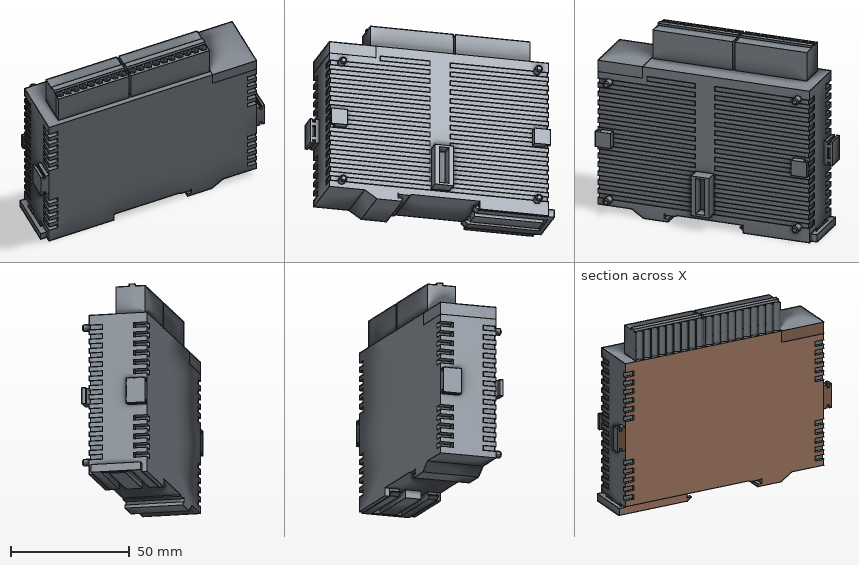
import cadquery as cq


OVERALL_LENGTH = 103.0

HOUSING_WIDTH = 25.0
HOUSING_LENGTH = 95.6
HOUSING_TOP = 68.7
BASE_Z = 3.5
HALF_LENGTH = HOUSING_LENGTH / 2

REAR_FOOT_SLOPE_TOP_Y = 32.4
REAR_FOOT_SLOPE_BOTTOM_Y = 27.1
REAR_FOOT_WALL_Y = 17.8
REAR_FOOT_LIP_Y = 16.1
REAR_FOOT_LIP_HEIGHT = 1.3
RAIL_PAD_FRONT_Y = 12.2
RAIL_PAD_HEIGHT = 0.5
FRONT_FOOT_Y = -17.8

SLOT_ROWS = 15
SLOT_HEIGHT = 2.1
SIDE_SLOT_DEPTH = 0.4
LEFT_END_SLOT_DEPTH = 0.5
RIGHT_END_SLOT_DEPTH = 4.1
LOWEST_SLOT_Z = 6.4
HIGHEST_SLOT_Z = 62.4
SLOT_PITCH = (HIGHEST_SLOT_Z - LOWEST_SLOT_Z) / (SLOT_ROWS - 1)
REAR_SLOT_INNER_Y = 3.9
FRONT_SLOT_INNER_Y = -4.9
SHORT_SLOT_OUTER_Y = 25.6
LEFT_SLOT_END_X = 5.8
RIGHT_SLOT_START_X = 19.2
CLIP_ROWS = range(5, 9)

COVER_INNER_Y = 27.6
COVER_HEIGHT = 5.2

PIN_RADIUS = 1.4
PIN_LENGTH = 3.9
PIN_CHAMFER = 0.5
PIN_Y = 42.6
LOW_PIN_Z = 6.4
REAR_HIGH_PIN_Z = 59.5
FRONT_HIGH_PIN_Z = 64.5

HOOK_LENGTH = 7.0
HOOK_REACH = 3.2
HOOK_PRONG_THICKNESS = 1.5
HOOK_ROOT_INSET = 1.9
HOOK_Z = 30.8
HOOK_HEIGHT = 6.8

SOCKET_REACH = 5.7
SOCKET_REAR_Y = 3.4
SOCKET_FRONT_Y = -4.7
SOCKET_Z = 7.0
SOCKET_HEIGHT = 17.9
CAVITY_WIDTH = 4.0
CAVITY_HEIGHT = 16.1

POLE_PITCH = 3.6
REAR_BLOCK_POLES = 10
FRONT_BLOCK_POLES = 9
REAR_BLOCK_START_Y = 27.0
BLOCK_GAP = 1.0
BLOCK_LEFT_X = 10.3
BLOCK_RIGHT_X = 22.9
BLOCK_TOP = 81.6
RIDGE_HEIGHT = 0.9
RIDGE_LEFT_X = 16.1
RIDGE_TOP_RIGHT_X = 18.3
RIDGE_BASE_RIGHT_X = 18.7
SCREW_HOLE_RADIUS = 1.5
SCREW_HOLE_X = 20.3
SCREW_HOLE_DEPTH = BLOCK_TOP - HOUSING_TOP

CLIP_REACH = OVERALL_LENGTH / 2 - HALF_LENGTH
CLIP_LEFT_X = 16.9
CLIP_Z = 29.1
CLIP_HEIGHT = 10.7
CLIP_GROOVE_OFFSET = 1.5
CLIP_GROOVE_WIDTH = 1.0
CLIP_GROOVE_DEPTH = 1.3
CLIP_POCKET_HEIGHT = 4.7

LATCH_LEFT_X = 1.5
LATCH_RIGHT_X = 22.9
LATCH_BOTTOM_Z = 0.2
LATCH_REACH = 2.9
LATCH_PULL_GAP = 1.0
LATCH_LEG_WIDTH = 4.1
LATCH_CHANNEL_WIDTH = 7.2
LATCH_NOSE_LENGTH = 2.0
LATCH_NOSE_TOP_Z = 1.9
LATCH_NOSE_EDGE = 0.3


def box(x0, x1, y0, y1, z0, z1):
    """Box between opposite corner coordinates."""
    return cq.Workplane("XY").box(x1 - x0, y1 - y0, z1 - z0, centered=False).translate((x0, y0, z0))


def extrude_side_outline(points, x0, x1):
    """Extrude a closed (y, z) outline from x0 to x1."""
    return cq.Workplane("YZ", origin=(x0, 0, 0)).polyline(points).close().extrude(x1 - x0)


def make_shell():
    """Plain housing with its rail feet."""
    pad_z = BASE_Z - RAIL_PAD_HEIGHT
    outline = [
        (HALF_LENGTH, HOUSING_TOP),
        (HALF_LENGTH, BASE_Z),
        (REAR_FOOT_SLOPE_TOP_Y, BASE_Z),
        (REAR_FOOT_SLOPE_BOTTOM_Y, 0),
        (REAR_FOOT_LIP_Y, 0),
        (REAR_FOOT_LIP_Y, REAR_FOOT_LIP_HEIGHT),
        (REAR_FOOT_WALL_Y, REAR_FOOT_LIP_HEIGHT),
        (REAR_FOOT_WALL_Y, BASE_Z),
        (REAR_FOOT_WALL_Y - RAIL_PAD_HEIGHT, pad_z),
        (RAIL_PAD_FRONT_Y + RAIL_PAD_HEIGHT, pad_z),
        (RAIL_PAD_FRONT_Y, BASE_Z),
        (FRONT_FOOT_Y, BASE_Z),
        (FRONT_FOOT_Y, 0),
        (-HALF_LENGTH, 0),
        (-HALF_LENGTH, HOUSING_TOP),
    ]
    return extrude_side_outline(outline, 0, HOUSING_WIDTH)


def make_slot_row(row):
    """Cutters for one row of slots on the left face and both ends."""
    z0 = LOWEST_SLOT_Z + row * SLOT_PITCH
    z1 = z0 + SLOT_HEIGHT
    lowest = row == 0
    highest = row == SLOT_ROWS - 1

    rear_outer_y = SHORT_SLOT_OUTER_Y if highest else HALF_LENGTH
    rear_inner_y = 0 if lowest else REAR_SLOT_INNER_Y
    front_inner_y = 0 if lowest else FRONT_SLOT_INNER_Y
    cutters = [
        box(0, SIDE_SLOT_DEPTH, rear_inner_y, rear_outer_y, z0, z1),
        box(0, SIDE_SLOT_DEPTH, -HALF_LENGTH, front_inner_y, z0, z1),
    ]

    end_cutters = [box(0, LEFT_SLOT_END_X, -HALF_LENGTH, -HALF_LENGTH + LEFT_END_SLOT_DEPTH, z0, z1)]
    if row not in CLIP_ROWS:
        right_floor_y = -HALF_LENGTH + RIGHT_END_SLOT_DEPTH
        end_cutters.append(box(RIGHT_SLOT_START_X, HOUSING_WIDTH, -HALF_LENGTH, right_floor_y, z0, z1))
    cutters += end_cutters
    if not highest:
        cutters += [cutter.mirror("XZ") for cutter in end_cutters]
    return cutters


def make_pin(y, z):
    """Chamfered guide pin, rooted at the slot floor."""
    return (
        cq.Workplane("YZ", origin=(SIDE_SLOT_DEPTH, y, z))
        .circle(PIN_RADIUS)
        .extrude(-PIN_LENGTH - SIDE_SLOT_DEPTH)
        .faces("<X")
        .chamfer(PIN_CHAMFER)
    )


def make_rear_hook():
    """L-shaped latch hook whose prong points to the rear end."""
    inner_y = HALF_LENGTH - HOOK_LENGTH
    root_y = HALF_LENGTH - HOOK_ROOT_INSET
    hook_top = HOOK_Z + HOOK_HEIGHT
    root = box(-HOOK_REACH, SIDE_SLOT_DEPTH, inner_y, root_y, HOOK_Z, hook_top)
    prong_right_x = -HOOK_REACH + HOOK_PRONG_THICKNESS
    prong = box(-HOOK_REACH, prong_right_x, inner_y, HALF_LENGTH, HOOK_Z, hook_top)
    return root.union(prong)


def make_socket():
    """Open connector socket, its cavity ending at the housing face."""
    block = box(
        -SOCKET_REACH, SIDE_SLOT_DEPTH, SOCKET_FRONT_Y, SOCKET_REAR_Y, SOCKET_Z, SOCKET_Z + SOCKET_HEIGHT
    )
    cavity = (
        cq.Workplane("XY")
        .box(SOCKET_REACH, CAVITY_WIDTH, CAVITY_HEIGHT)
        .translate(
            (-SOCKET_REACH / 2, (SOCKET_FRONT_Y + SOCKET_REAR_Y) / 2, SOCKET_Z + SOCKET_HEIGHT / 2)
        )
    )
    return block.cut(cavity)


def make_housing(cover):
    """Housing with slots, pins, hooks, socket, latch channels and cover recess."""
    housing = make_shell().cut(cover)
    for row in range(SLOT_ROWS):
        for cutter in make_slot_row(row):
            housing = housing.cut(cutter)

    for x0 in (LATCH_LEFT_X, LATCH_RIGHT_X - LATCH_CHANNEL_WIDTH):
        channel = box(x0, x0 + LATCH_CHANNEL_WIDTH, -HALF_LENGTH, FRONT_FOOT_Y, 0, BASE_Z)
        housing = housing.cut(channel)

    pin_places = [
        (PIN_Y, LOW_PIN_Z),
        (-PIN_Y, LOW_PIN_Z),
        (PIN_Y, REAR_HIGH_PIN_Z),
        (-PIN_Y, FRONT_HIGH_PIN_Z),
    ]
    for y, z in pin_places:
        housing = housing.union(make_pin(y, z))

    rear_hook = make_rear_hook()
    return housing.union(rear_hook).union(rear_hook.mirror("XZ")).union(make_socket())


def make_corner_cover():
    """Cover filling the rear top corner of the housing."""
    return box(0, HOUSING_WIDTH, COVER_INNER_Y, HALF_LENGTH, HOUSING_TOP - COVER_HEIGHT, HOUSING_TOP)


def make_terminal_block(rear_y, poles):
    """Terminal block reaching forward from rear_y, with one screw hole per pole."""
    ridge_top = BLOCK_TOP + RIDGE_HEIGHT
    outline = [
        (BLOCK_LEFT_X, HOUSING_TOP),
        (BLOCK_RIGHT_X, HOUSING_TOP),
        (BLOCK_RIGHT_X, BLOCK_TOP),
        (RIDGE_BASE_RIGHT_X, BLOCK_TOP),
        (RIDGE_TOP_RIGHT_X, ridge_top),
        (RIDGE_LEFT_X, ridge_top),
        (RIDGE_LEFT_X, BLOCK_TOP),
        (BLOCK_LEFT_X, BLOCK_TOP),
    ]
    block = cq.Workplane("XZ", origin=(0, rear_y, 0)).polyline(outline).close().extrude(poles * POLE_PITCH)
    hole_centres = [(SCREW_HOLE_X, rear_y - (pole + 0.5) * POLE_PITCH) for pole in range(poles)]
    holes = (
        cq.Workplane("XY", origin=(0, 0, BLOCK_TOP))
        .pushPoints(hole_centres)
        .circle(SCREW_HOLE_RADIUS)
        .extrude(-SCREW_HOLE_DEPTH)
    )
    return block.cut(holes)


def make_rear_clip():
    """Retaining clip on the rear end, grooved above and below and pocketed on its left side."""
    clip_top = CLIP_Z + CLIP_HEIGHT
    middle_z = CLIP_Z + CLIP_HEIGHT / 2
    groove_y0 = HALF_LENGTH + CLIP_GROOVE_OFFSET
    groove_y1 = groove_y0 + CLIP_GROOVE_WIDTH
    clip = box(CLIP_LEFT_X, HOUSING_WIDTH, HALF_LENGTH, HALF_LENGTH + CLIP_REACH, CLIP_Z, clip_top)
    for z0 in (CLIP_Z, clip_top - CLIP_GROOVE_DEPTH):
        clip = clip.cut(box(CLIP_LEFT_X, HOUSING_WIDTH, groove_y0, groove_y1, z0, z0 + CLIP_GROOVE_DEPTH))
    pocket = box(
        CLIP_LEFT_X,
        CLIP_LEFT_X + CLIP_GROOVE_DEPTH,
        groove_y0,
        groove_y1,
        middle_z - CLIP_POCKET_HEIGHT / 2,
        middle_z + CLIP_POCKET_HEIGHT / 2,
    )
    return clip.cut(pocket)


def make_rail_latch():
    """U-shaped sliding latch: a pull outside the front end and two legs with wedge noses."""
    nose_tip_y = FRONT_FOOT_Y + LATCH_NOSE_LENGTH
    outline = [
        (-HALF_LENGTH - LATCH_REACH, LATCH_BOTTOM_Z),
        (FRONT_FOOT_Y, LATCH_BOTTOM_Z),
        (nose_tip_y, LATCH_NOSE_TOP_Z - LATCH_NOSE_EDGE),
        (nose_tip_y, LATCH_NOSE_TOP_Z),
        (FRONT_FOOT_Y, LATCH_NOSE_TOP_Z),
        (FRONT_FOOT_Y, BASE_Z),
        (-HALF_LENGTH - LATCH_REACH, BASE_Z),
    ]
    latch = extrude_side_outline(outline, LATCH_LEFT_X, LATCH_RIGHT_X)
    leg_gap = box(
        LATCH_LEFT_X + LATCH_LEG_WIDTH,
        LATCH_RIGHT_X - LATCH_LEG_WIDTH,
        -HALF_LENGTH - LATCH_PULL_GAP,
        nose_tip_y,
        LATCH_BOTTOM_Z,
        BASE_Z,
    )
    return latch.cut(leg_gap)


corner_cover = make_corner_cover()
housing = make_housing(corner_cover)

front_block_start_y = REAR_BLOCK_START_Y - REAR_BLOCK_POLES * POLE_PITCH - BLOCK_GAP
terminal_blocks = [
    make_terminal_block(rear_y, poles)
    for rear_y, poles in [
        (REAR_BLOCK_START_Y, REAR_BLOCK_POLES),
        (front_block_start_y, FRONT_BLOCK_POLES),
    ]
]

rear_clip = make_rear_clip()
end_clips = [rear_clip, rear_clip.mirror("XZ")]

rail_latch = make_rail_latch()

result = cq.Compound.makeCompound(
    [
        housing.solids().val(),
        corner_cover.val(),
        *[block.val() for block in terminal_blocks],
        *[clip.val() for clip in end_clips],
        rail_latch.val(),
    ]
)